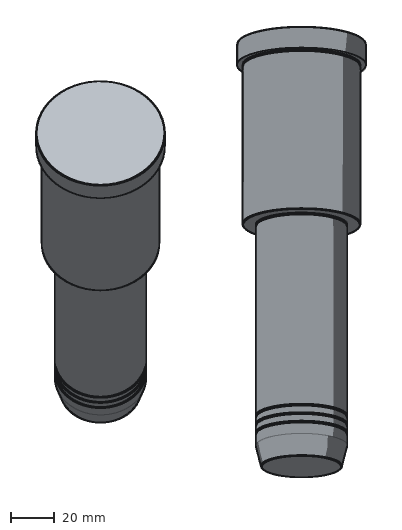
import cadquery as cq

total_length = 201.0
head_height = 10.0
body_bottom = 115.0
taper_height = 10.0

head_radius = 59.0 / 2
body_radius = 54.0 / 2
shaft_radius = 42.0 / 2
tip_radius = 37.0 / 2

edge_chamfer = 0.5
relief_width = 1.0
relief_depth = 0.5
groove_width = 1.0
groove_depth = 0.5
groove_pitch = 4.0
groove_count = 3
lowest_groove_bottom = 15.0


def cylinder(radius, bottom, top):
    """Solid cylinder on the Z axis between two heights."""
    return cq.Workplane("XY").workplane(offset=bottom).circle(radius).extrude(top - bottom)


def ring_groove(radius, depth, bottom, width):
    """Ring that cuts a V-shaped groove into a cylinder of the given radius."""
    profile = [(radius, bottom), (radius - depth, bottom + width / 2), (radius, bottom + width)]
    return cq.Workplane("XZ").polyline(profile).close().revolve(360, (0, 0), (0, 1))


head_bottom = total_length - head_height
head = cylinder(head_radius, head_bottom, total_length).faces(">Z").edges().chamfer(edge_chamfer)

body = cylinder(body_radius, body_bottom, head_bottom).faces("<Z").edges().chamfer(edge_chamfer)
body = body.cut(ring_groove(body_radius, relief_depth, head_bottom - relief_width, relief_width))

shaft = cylinder(shaft_radius, taper_height, body_bottom)
shaft = shaft.cut(ring_groove(shaft_radius, relief_depth, body_bottom - relief_width, relief_width))
for index in range(groove_count):
    groove_bottom = lowest_groove_bottom + index * groove_pitch
    shaft = shaft.cut(ring_groove(shaft_radius, groove_depth, groove_bottom, groove_width))

tip = (
    cq.Workplane("XY")
    .circle(tip_radius)
    .workplane(offset=taper_height)
    .circle(shaft_radius)
    .loft(ruled=True)
    .faces("<Z")
    .edges()
    .chamfer(edge_chamfer)
)

result = head.union(body).union(shaft).union(tip)